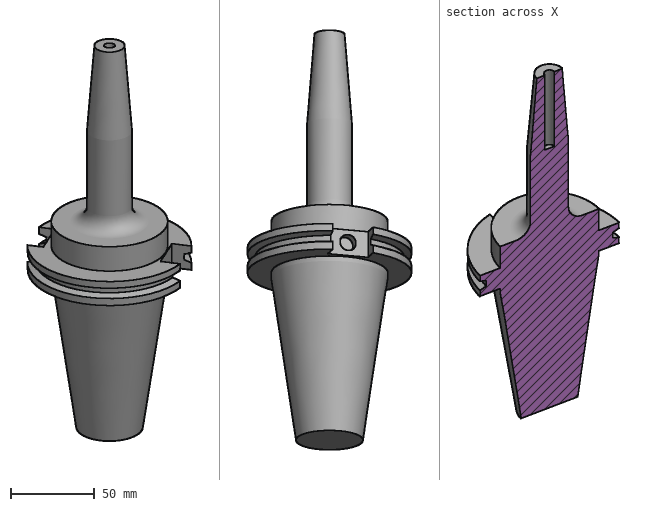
import cadquery as cq

total_height = 254.0
gauge_height = 101.5
flange_bottom = 104.6
flange_top = 120.6
body_top = 137.0
nose_start = 197.4

taper_ratio = 7 / 24
gauge_radius = 34.92
taper_end_radius = gauge_radius - gauge_height * taper_ratio / 2
flange_radius = 98.3 / 2
shank_radius = 13.6
tip_radius = 9.1
bore_radius = 3.3
bore_depth = total_height - nose_start
root_fillet = 10.0

groove_radius = 44.7
groove_mouth = 6.9
groove_floor = 3.5
groove_center = 112.8

slot_width = 25.1
left_slot_floor = 37.5
right_slot_floor = 35.3
slot_hole_diameter = 10.0
slot_hole_depth = 6.4
slot_hole_height = 112.8


def make_holder():
    """Revolve the taper, flange, body, shank and conical nose."""
    profile = (
        cq.Workplane("XZ")
        .lineTo(taper_end_radius, 0)
        .lineTo(gauge_radius, gauge_height)
        .lineTo(gauge_radius, flange_bottom)
        .lineTo(flange_radius, flange_bottom)
        .lineTo(flange_radius, groove_center - groove_mouth / 2)
        .lineTo(groove_radius, groove_center - groove_floor / 2)
        .lineTo(groove_radius, groove_center + groove_floor / 2)
        .lineTo(flange_radius, groove_center + groove_mouth / 2)
        .lineTo(flange_radius, flange_top)
        .lineTo(gauge_radius, flange_top)
        .lineTo(gauge_radius, body_top)
        .lineTo(shank_radius + root_fillet, body_top)
        .radiusArc((shank_radius, body_top + root_fillet), root_fillet)
        .lineTo(shank_radius, nose_start)
        .lineTo(tip_radius, total_height)
        .lineTo(0, total_height)
        .close()
    )
    return profile.revolve(360, (0, 0, 0), (0, 1, 0))


def drive_slot(side, floor_distance):
    """Cutter for a slot through the flange; side is -1 for -X and +1 for +X."""
    return cq.Workplane("XY").box(
        flange_radius,
        slot_width,
        flange_top - flange_bottom,
        centered=(True, True, False),
    ).translate((side * (floor_distance + flange_radius / 2), 0, flange_bottom))


def slot_hole():
    """Cutter for the blind radial hole in the floor of the -X slot."""
    return (
        cq.Workplane("YZ", origin=(-left_slot_floor, 0, slot_hole_height))
        .circle(slot_hole_diameter / 2)
        .extrude(slot_hole_depth)
    )


bore = (
    cq.Workplane("XY", origin=(0, 0, total_height))
    .circle(bore_radius)
    .extrude(-bore_depth)
)

result = (
    make_holder()
    .cut(drive_slot(-1, left_slot_floor))
    .cut(drive_slot(1, right_slot_floor))
    .cut(slot_hole())
    .cut(bore)
)